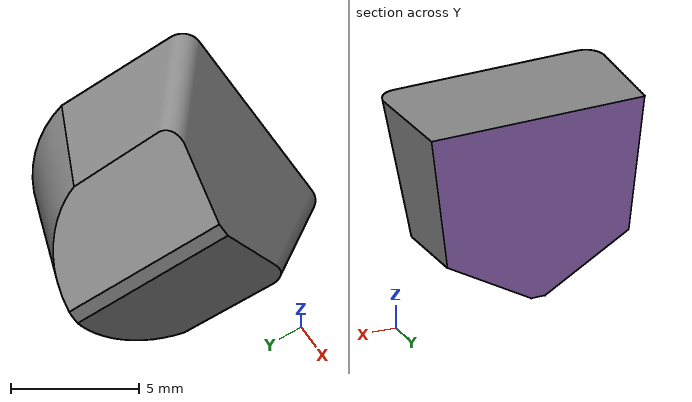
import cadquery as cq
import math

height = 7.75
back_radius = 4.76
depth_y = 9.5
junction_y = 1.30
side_splay = 2.0
side_draft = 7.0
front_draft = 11.0
corner_radius = 0.8
ridge_width = 0.6
bottom_slope = 30.0

front_y = back_radius - depth_y
junction_x = math.sqrt(back_radius**2 - junction_y**2)
side_shift = height * math.tan(math.radians(side_draft))
front_shift = height * math.tan(math.radians(front_draft))
side_run = math.tan(math.radians(side_splay))
clearance = 1.0
back_limit_y = back_radius + clearance
envelope_half = depth_y + clearance


def trapezoid(inset_side, inset_front, z):
    """Corner points of the straight-sided section at height z, moved inward by the drafts."""
    near_y = front_y + inset_front
    near_x = junction_x - inset_side + (junction_y - near_y) * side_run
    far_x = junction_x - inset_side + (junction_y - back_limit_y) * side_run
    return [
        cq.Vector(-near_x, near_y, z),
        cq.Vector(near_x, near_y, z),
        cq.Vector(far_x, back_limit_y, z),
        cq.Vector(-far_x, back_limit_y, z),
    ]


def flat_face(points):
    """Planar face bounded by straight edges through the points."""
    return cq.Face.makeFromWires(cq.Wire.makePolygon(points, close=True))


def drafted_block():
    """Flat-faced block with drafted sides and front, and rounded front corners."""
    top = trapezoid(0, 0, 0)
    bottom = trapezoid(side_shift, front_shift, -height)
    faces = [flat_face(top), flat_face(bottom)]
    for i in range(len(top)):
        faces.append(flat_face([bottom[i - 1], bottom[i], top[i], top[i - 1]]))
    solid = cq.Solid.makeSolid(cq.Shell.makeShell(faces))
    block = cq.Workplane("XY").add(solid.fix())
    front_corners = block.faces("<Y").edges("not |X")
    return front_corners.fillet(corner_radius)


def rounded_back_envelope():
    """Drafted cone for the back half, joined to a plain box for the front half."""
    cone = cq.Workplane("XY").add(
        cq.Solid.makeCone(back_radius - side_shift, back_radius, height, cq.Vector(0, 0, -height))
    )
    front_half = cq.Workplane("XY").box(
        2 * envelope_half, envelope_half, height, centered=(True, False, False)
    )
    return cone.union(front_half.translate((0, -envelope_half, -height)))


def v_bottom_envelope():
    """Prism along Y whose lower side is a blunt V."""
    half_ridge = ridge_width / 2
    rise = (envelope_half - half_ridge) * math.tan(math.radians(bottom_slope))
    return (
        cq.Workplane("XZ")
        .moveTo(-half_ridge, -height)
        .lineTo(half_ridge, -height)
        .lineTo(envelope_half, rise - height)
        .lineTo(envelope_half, 0)
        .lineTo(-envelope_half, 0)
        .lineTo(-envelope_half, rise - height)
        .close()
        .extrude(envelope_half, both=True)
    )


body = drafted_block().intersect(rounded_back_envelope()).intersect(v_bottom_envelope())
result = cq.Workplane("XY").add(body.solids().val())